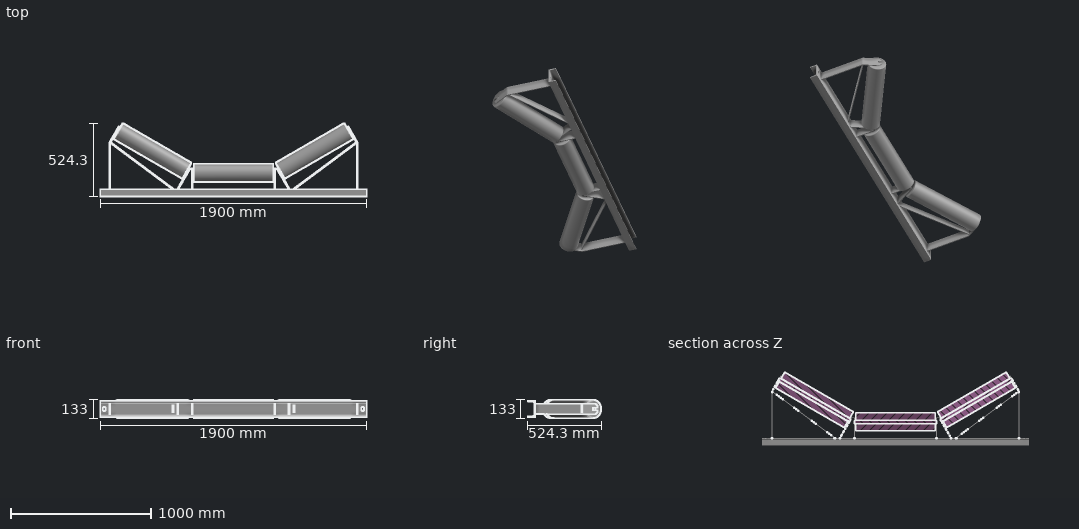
import cadquery as cq
import math


beam_length = 1900.0
beam_height = 120.0
flange_width = 55.0
web_thickness = 7.0
flange_thickness = 9.0
flange_slope = 0.08
root_radius = 9.0
toe_radius = 4.5
mount_hole_width = 18.0
mount_hole_height = 28.0
mount_hole_from_end = 29.0

roller_diameter = 133.0
roller_length = 568.0
trough_angle = 30.0
center_axis_y = 115.0
top_y = 469.3
rim_radius = 5.0
tilted_center_x = 577.0

shaft_diameter = 20.0
tongue_width = 17.0
roller_gap = 5.0

plate_thickness = 7.0
plate_width = 75.0
outer_tip_reach = 30.0
inner_top_y = 148.0
tip_chamfer = 17.0
upright_x = 885.0
bend_radius = 28.0
brace_width = 50.0
brace_thickness = 6.0
brace_foot_x = 436.0

roller_radius = roller_diameter / 2
cos_tilt = math.cos(math.radians(trough_angle))
sin_tilt = math.sin(math.radians(trough_angle))
rim_center_along = roller_length / 2 - rim_radius
rim_center_across = roller_radius - rim_radius
rim_center_rise = rim_center_along * sin_tilt + rim_center_across * cos_tilt
tilted_center_y = top_y - rim_radius - rim_center_rise
near_face = roller_length / 2 + roller_gap
far_face = near_face + plate_thickness


def tilted_point(along, across):
    """XY point given along the right-hand tilted axis and square to it."""
    x = tilted_center_x + along * cos_tilt - across * sin_tilt
    y = tilted_center_y + along * sin_tilt + across * cos_tilt
    return (x, y)


def tilted_point_at_x(along, x):
    across = (tilted_center_x + along * cos_tilt - x) / sin_tilt
    return tilted_point(along, across)


def tilted_point_at_y(along, y):
    across = (y - tilted_center_y - along * sin_tilt) / cos_tilt
    return tilted_point(along, across)


def to_tilted(body):
    """Move a body modelled along X about the origin onto the right-hand tilted axis."""
    turned = body.rotate((0, 0, 0), (0, 0, 1), trough_angle)
    return turned.translate((tilted_center_x, tilted_center_y, 0))


def to_center(body):
    return body.translate((0, center_axis_y, 0))


def mirrored(body):
    return body.mirror("YZ")


def all_stations(body):
    """The body at the left, centre and right roller positions."""
    return [mirrored(to_tilted(body)), to_center(body), to_tilted(body)]


def plate(outline, width):
    floor = cq.Workplane("XY", origin=(0, 0, -width / 2))
    return floor.polyline(outline).close().extrude(width)


def rod(length):
    """Round bar of shaft diameter along X, centred on the origin."""
    end = cq.Workplane("YZ", origin=(-length / 2, 0, 0))
    return end.circle(shaft_diameter / 2).extrude(length)


def make_beam():
    half_height = beam_height / 2
    half_drop = flange_slope * flange_width / 2
    toe_z = half_height - flange_thickness + half_drop
    root_z = toe_z - flange_slope * (flange_width - web_thickness)
    profile = [
        (0, -half_height),
        (-flange_width, -half_height),
        (-flange_width, -toe_z),
        (-web_thickness, -root_z),
        (-web_thickness, root_z),
        (-flange_width, toe_z),
        (-flange_width, half_height),
        (0, half_height),
    ]
    end = cq.Workplane("YZ", origin=(-beam_length / 2, 0, 0))
    beam = end.polyline(profile).close().extrude(beam_length)
    for side in (-1, 1):
        root_point = (0, -web_thickness, side * root_z)
        toe_point = (0, -flange_width, side * toe_z)
        beam = beam.edges(cq.selectors.NearestToPointSelector(root_point)).fillet(root_radius)
        beam = beam.edges(cq.selectors.NearestToPointSelector(toe_point)).fillet(toe_radius)
    hole_x = beam_length / 2 - mount_hole_from_end
    holes = (
        cq.Workplane("XZ")
        .pushPoints([(-hole_x, 0), (hole_x, 0)])
        .slot2D(mount_hole_height, mount_hole_width, 90)
        .extrude(web_thickness)
    )
    return beam.cut(holes)


def make_tip_corners():
    """The two corners that are cut off the outer bracket's tip."""
    edge = plate_width / 2
    lower = outer_tip_reach - tip_chamfer
    corners = cq.Workplane("YZ", origin=(near_face, 0, 0))
    for side in (-1, 1):
        triangle = [
            (outer_tip_reach, side * edge),
            (lower, side * edge),
            (outer_tip_reach, side * (edge - tip_chamfer)),
        ]
        corners = corners.polyline(triangle).close()
    return to_tilted(corners.extrude(plate_thickness))


def make_outer_bracket():
    """Upright from the beam, bent inwards to lie square to the tilted roller."""
    outline = [
        (upright_x - plate_thickness, 0),
        (upright_x, 0),
        tilted_point_at_x(far_face, upright_x),
        tilted_point(far_face, outer_tip_reach),
        tilted_point(near_face, outer_tip_reach),
        tilted_point_at_x(near_face, upright_x - plate_thickness),
    ]
    bracket = plate(outline, plate_width)
    outer_bend, inner_bend = outline[2], outline[5]
    for (x, y), radius in (
        (outer_bend, bend_radius),
        (inner_bend, bend_radius - plate_thickness),
    ):
        bend_edge = cq.selectors.NearestToPointSelector((x, y, 0))
        bracket = bracket.edges(bend_edge).fillet(radius)
    return bracket.cut(make_tip_corners())


def make_inner_bracket():
    """Bent plate: tilted leg, short flat top and a vertical leg beside the centre roller."""
    under_top_y = inner_top_y - plate_thickness
    outline = [
        (near_face, 0),
        (near_face, inner_top_y),
        tilted_point_at_y(-near_face, inner_top_y),
        tilted_point_at_y(-near_face, 0),
        tilted_point_at_y(-far_face, 0),
        tilted_point_at_y(-far_face, under_top_y),
        (far_face, under_top_y),
        (far_face, 0),
    ]
    return plate(outline, plate_width)


def make_brace():
    """Flat plate from the beam up to the outer bracket's bend."""
    head_x, head_y = tilted_point_at_x(near_face, upright_x - plate_thickness)
    angle = math.atan2(head_y, head_x - brace_foot_x)
    foot_shift = brace_thickness / math.sin(angle)
    head_shift = brace_thickness / math.cos(angle)
    outline = [
        (brace_foot_x, 0),
        (brace_foot_x - foot_shift, 0),
        (head_x, head_y + head_shift),
        (head_x, head_y),
    ]
    return plate(outline, brace_width)


def make_shaft_slots():
    """Slots for both ends of one shaft, open upwards from the tongue's lower face."""
    plate_middle = (near_face + far_face) / 2
    slot_height = outer_tip_reach + shaft_diameter / 2
    return (
        cq.Workplane("XY")
        .pushPoints([(-plate_middle, 0), (plate_middle, 0)])
        .box(plate_thickness, slot_height, tongue_width)
        .translate((0, (slot_height - shaft_diameter) / 2, 0))
    )


def make_frame():
    frame = make_beam()
    for part in (make_outer_bracket(), make_inner_bracket(), make_brace()):
        frame = frame.union(part).union(mirrored(part))
    for slots in all_stations(make_shaft_slots()):
        frame = frame.cut(slots)
    return frame


def make_roller():
    return (
        cq.Workplane("YZ", origin=(-roller_length / 2, 0, 0))
        .circle(roller_radius)
        .extrude(roller_length)
        .edges()
        .fillet(rim_radius)
        .cut(rod(roller_length))
    )


def make_shaft():
    """Round between the brackets, with two flats on each end that fit a bracket slot."""
    tongues = cq.Workplane("XY").box(2 * far_face, shaft_diameter, tongue_width)
    return rod(2 * near_face).union(rod(2 * far_face).intersect(tongues))


frame = make_frame()
rollers = all_stations(make_roller())
shafts = all_stations(make_shaft())

result = cq.Compound.makeCompound(
    [frame.val(), *[roller.val() for roller in rollers], *[shaft.val() for shaft in shafts]]
)